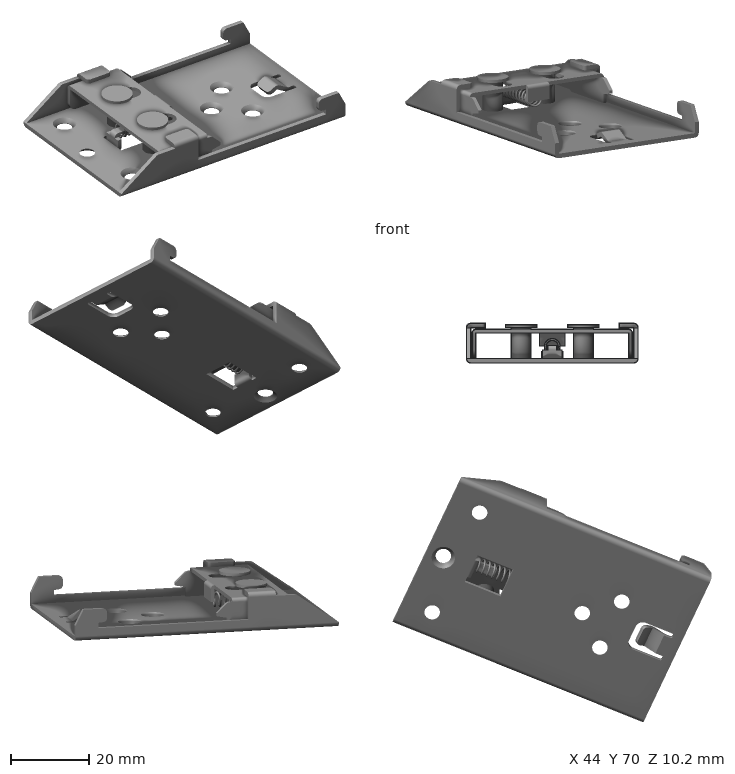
import cadquery as cq
import math


base_length = 70.0
base_width = 44.0
base_sheet = 1.2
base_height = 10.2
wall_top = base_height - base_sheet
wall_inner_x = base_width / 2 - base_sheet
rail_top = 3.15

hook_back_z = 4.05
hook_top = 8.2
hook_back_y = 67.9
hook_tip_y = 61.6
hook_tip_z = 4.75
hook_throat_y = 63.9
hook_throat_z = 4.55
hook_round = 1.1

tall_wall_end_y = 24.0
ramp_top_y = 11.2
ramp_round = 1.25
tab_start_y = 16.7
tab_reach = 4.9
tab_corner = 0.85

screw_hole = 4.0
countersink = 6.0
top_sunk_holes = [(-7, 51.45), (7, 51.45), (0, 43.5), (-15.2, 8.1), (15.2, 8.1)]
front_hole_y = 4.6

slit_width = 1.3
slit_span = 8.1
slit_start_y = 57.5
slit_end_y = 67.35
slit_corner = 2.0
slit_end_round = 0.5
latch_width = slit_span - 2 * slit_width
latch_tip_y = 59.15
latch_tip_z = 1.6
latch_corner = 1.1
latch_bend_y = 65.45
latch_crest_y = 61.95
latch_crest_z = 3.15
latch_crest_round = 1.4

window_width = 8.1
window_start_y = 12.4
window_end_y = 22.4
post_width = 5.1
post_shoulder_z = 3.35
peg_width = 2.3
peg_length = 5.6
post_back_y = window_start_y + base_sheet

slider_sheet = 1.0
slider_gap = 0.3
slider_half_width = wall_inner_x - slider_gap
slider_start_y = 12.8
slider_end_y = 27.9
slider_top = 8.7
slider_plate_z = slider_top - slider_sheet
leg_bottom = base_sheet
leg_corner = 2.0
jaw_top_y = 29.2
jaw_top_round = 1.7
jaw_tip_y = 32.0
jaw_tip_top_z = 5.0
jaw_tip_bottom_z = 4.2
jaw_root_y = 29.25
jaw_root_z = 3.65
lug_width = 6.6
lug_bottom = 4.35

pin_x = 8.0
pin_y = 19.45
pin_places = [(-pin_x, pin_y), (pin_x, pin_y)]
pin_diameter = 5.2
pin_head_diameter = 8.05
pin_head_bottom = 9.1
pin_top = 9.9
slot_travel = 4.35

spring_diameter = 4.05
wire_diameter = 0.5
spring_z = 4.3
spring_pitch = 1.4


def across(sketch_points, half_width):
    """Prism of a (Y, Z) outline, reaching half_width to either side of X = 0."""
    return cq.Workplane("YZ").polyline(sketch_points).close().extrude(half_width, both=True)


def block(x0, x1, y0, y1, z0, z1):
    return cq.Workplane("XY").box(x1 - x0, y1 - y0, z1 - z0, centered=False).translate((x0, y0, z0))


def mirrored(body):
    """The body together with its mirror image across X = 0."""
    return body.union(body.mirror("YZ"))


def quarter_disc(plane, corner, quadrant, radius):
    """Outline of a sheet fold: a quarter disc at the fold's inner corner, on the given signed side."""
    u, v = corner
    reach_u = quadrant[0] * radius
    reach_v = quadrant[1] * radius
    middle = math.sqrt(0.5)
    return (
        plane.moveTo(u, v)
        .lineTo(u + reach_u, v)
        .threePointArc((u + reach_u * middle, v + reach_v * middle), (u, v + reach_v))
        .close()
    )


def fold_along_x(corner, quadrant, radius, half_width):
    return quarter_disc(cq.Workplane("YZ"), corner, quadrant, radius).extrude(half_width, both=True)


def fold_along_y(corner, quadrant, radius, start_y, end_y):
    plane = cq.Workplane("XZ", origin=(0, end_y, 0))
    return quarter_disc(plane, corner, quadrant, radius).extrude(end_y - start_y)


def folded_channel():
    blank = block(-base_width / 2, base_width / 2, 0, base_length, 0, wall_top)
    blank = blank.edges("|Y and <Z").fillet(base_sheet)
    inside = block(-wall_inner_x, wall_inner_x, 0, base_length, base_sheet, wall_top)
    side_outline = [
        (0, 0),
        (base_length, 0),
        (base_length, hook_back_z),
        (hook_back_y, hook_top),
        (hook_tip_y, hook_top),
        (hook_tip_y, hook_tip_z),
        (hook_throat_y, hook_throat_z),
        (hook_throat_y, rail_top),
        (tall_wall_end_y, rail_top),
        (tall_wall_end_y, wall_top),
        (ramp_top_y, wall_top),
        (0, base_sheet),
    ]
    profile = across(side_outline, base_width / 2)
    for z in (hook_top, hook_tip_z):
        tip = cq.selectors.NearestToPointSelector((0, hook_tip_y, z))
        profile = profile.edges("|X").edges(tip).fillet(hook_round)
    ramp_top = cq.selectors.NearestToPointSelector((0, ramp_top_y, wall_top))
    profile = profile.edges("|X").edges(ramp_top).fillet(ramp_round)
    return blank.cut(inside).intersect(profile)


def top_tab():
    """Tab on the +X wall, folded inward."""
    tab = block(
        base_width / 2 - tab_reach, wall_inner_x, tab_start_y, tall_wall_end_y, wall_top, base_height
    )
    tab = tab.edges("|Z and <X").fillet(tab_corner)
    fold = fold_along_y((wall_inner_x, wall_top), (1, 1), base_sheet, tab_start_y, tall_wall_end_y)
    return tab.union(fold)


def latch_slit():
    half_span = slit_span / 2
    slit = block(-half_span, half_span, slit_start_y, slit_end_y, 0, base_sheet)
    slit = slit.edges("|Z and <Y").fillet(slit_corner)
    island = block(-latch_width / 2, latch_width / 2, latch_tip_y, slit_end_y, 0, base_sheet)
    island = island.edges("|Z and <Y").fillet(latch_corner)
    return slit.cut(island).edges("|Z and >Y").fillet(slit_end_round)


def under_latch(top_point, tilt_before, tilt_after):
    """Point of the latch's underside beneath a kink, where its downward tilt changes."""
    y, z = top_point
    reach = base_sheet / math.cos((tilt_after - tilt_before) / 2)
    lean = (tilt_before + tilt_after) / 2
    return (y + reach * math.sin(lean), z - reach * math.cos(lean))


def latch():
    """Kinked sheet that rises from the base to a crest and falls to a square-cut tip."""
    root = (slit_end_y, base_sheet)
    bend = (latch_bend_y, base_sheet)
    crest = (latch_crest_y, latch_crest_z)
    tip = (latch_tip_y, latch_tip_z)
    rise = math.atan2(latch_crest_z - base_sheet, latch_bend_y - latch_crest_y)
    fall = math.atan2(latch_crest_z - latch_tip_z, latch_crest_y - latch_tip_y)
    under_tip = under_latch(tip, fall, fall)
    outline = [
        root,
        bend,
        crest,
        tip,
        under_tip,
        under_latch(crest, -rise, fall),
        under_latch(bend, 0, -rise),
        under_latch(root, 0, 0),
    ]
    tongue = across(outline, latch_width / 2)
    crest_edge = cq.selectors.NearestToPointSelector((0, *crest))
    tongue = tongue.edges("|X").edges(crest_edge).fillet(latch_crest_round)
    tip_middle = ((tip[0] + under_tip[0]) / 2, (tip[1] + under_tip[1]) / 2)
    for side in (-1, 1):
        corner = cq.selectors.NearestToPointSelector((side * latch_width / 2, *tip_middle))
        tongue = tongue.edges(corner).fillet(latch_corner)
    return tongue


def spring_post():
    half_post = post_width / 2
    half_peg = peg_width / 2
    peg_end_y = post_back_y + peg_length
    peg_top = post_shoulder_z + base_sheet
    post = block(-half_post, half_post, window_start_y, post_back_y, base_sheet, post_shoulder_z)
    post_fold = fold_along_x((window_start_y, base_sheet), (1, -1), base_sheet, half_post)
    peg = block(-half_peg, half_peg, post_back_y, peg_end_y, post_shoulder_z, peg_top)
    peg_fold = fold_along_x((post_back_y, post_shoulder_z), (-1, 1), base_sheet, half_peg)
    return post.union(post_fold).union(peg_fold).union(peg)


def screw_holes():
    """Straight holes with countersinks: on top for most, on the underside for the middle front one."""
    places = top_sunk_holes + [(0, front_hole_y)]
    holes = cq.Workplane("XY").pushPoints(places).circle(screw_hole / 2).extrude(base_sheet)
    radii = (screw_hole / 2, countersink / 2)
    cone_depth = radii[1] - radii[0]
    for x, y in top_sunk_holes:
        apex_end = cq.Vector(x, y, base_sheet - cone_depth)
        holes = holes.union(cq.Workplane(cq.Solid.makeCone(*radii, cone_depth, apex_end)))
    under_cone = cq.Solid.makeCone(*reversed(radii), cone_depth, cq.Vector(0, front_hole_y, 0))
    return holes.union(cq.Workplane(under_cone))


def pin_holes():
    return cq.Workplane("XY").pushPoints(pin_places).circle(pin_diameter / 2).extrude(base_sheet)


def make_base():
    half_window = window_width / 2
    half_latch = latch_width / 2
    window = block(-half_window, half_window, window_start_y, window_end_y, 0, base_sheet)
    latch_opening = block(-half_latch, half_latch, latch_tip_y, latch_bend_y, 0, base_sheet)
    base = folded_channel().union(mirrored(top_tab()))
    base = base.cut(screw_holes()).cut(pin_holes())
    base = base.cut(window).cut(latch_slit()).cut(latch_opening)
    return base.union(spring_post()).union(latch())


def slider_leg():
    """Leg on the +X side, with its jaw reaching past the plate toward the hooks."""
    outline = [
        (slider_start_y, leg_bottom),
        (jaw_root_y, leg_bottom),
        (jaw_root_y, jaw_root_z),
        (jaw_tip_y, jaw_tip_bottom_z),
        (jaw_tip_y, jaw_tip_top_z),
        (jaw_top_y, slider_plate_z),
        (slider_start_y, slider_plate_z),
    ]
    leg = cq.Workplane("YZ").polyline(outline).close().extrude(slider_sheet)
    leg = leg.edges("|X and <Y and <Z").fillet(leg_corner)
    jaw_top = cq.selectors.NearestToPointSelector((0, jaw_top_y, slider_plate_z))
    leg = leg.edges("|X").edges(jaw_top).fillet(jaw_top_round)
    return leg.translate((slider_half_width - slider_sheet, 0, 0))


def slider_plate():
    """Flat top with the fold into the leg along each side."""
    fold_x = slider_half_width - slider_sheet
    plate = block(-fold_x, fold_x, slider_start_y, slider_end_y, slider_plate_z, slider_top)
    fold = fold_along_y((fold_x, slider_plate_z), (1, 1), slider_sheet, slider_start_y, slider_end_y)
    return plate.union(mirrored(fold))


def slider_lug():
    """Lug folded down from the plate's +Y edge, facing the spring post."""
    half_width = lug_width / 2
    lug = block(
        -half_width, half_width, slider_end_y, slider_end_y + slider_sheet, lug_bottom, slider_plate_z
    )
    return lug.union(fold_along_x((slider_end_y, slider_plate_z), (1, 1), slider_sheet, half_width))


def make_slider():
    slots = (
        cq.Workplane("XY", origin=(0, slot_travel / 2, slider_plate_z))
        .pushPoints(pin_places)
        .slot2D(slot_travel + pin_diameter, pin_diameter, 90)
        .extrude(slider_sheet)
    )
    return slider_plate().union(slider_lug()).union(mirrored(slider_leg())).cut(slots)


def make_pin(place):
    shank = cq.Workplane("XY", origin=(*place, 0)).circle(pin_diameter / 2)
    shank = shank.extrude(pin_head_bottom)
    return shank.faces(">Z").workplane().circle(pin_head_diameter / 2).extrude(pin_top - pin_head_bottom)


def make_spring():
    """Coil along Y, just clear of the post and the lug at its ends."""
    coil_radius = (spring_diameter - wire_diameter) / 2
    coil_length = slider_end_y - post_back_y - 2 * wire_diameter
    helix = cq.Wire.makeHelix(spring_pitch, coil_length, coil_radius)
    wire = cq.Workplane("XZ", origin=(coil_radius, 0, 0)).circle(wire_diameter / 2)
    coil = wire.sweep(cq.Workplane(helix), isFrenet=True)
    coil = coil.rotate((0, 0, 0), (1, 0, 0), -90)
    return coil.translate((0, post_back_y + wire_diameter, spring_z))


base = make_base()
slider = make_slider()
pins = [make_pin(place) for place in pin_places]
spring = make_spring()

result = cq.Compound.makeCompound([base.val(), slider.val(), *[pin.val() for pin in pins], spring.val()])